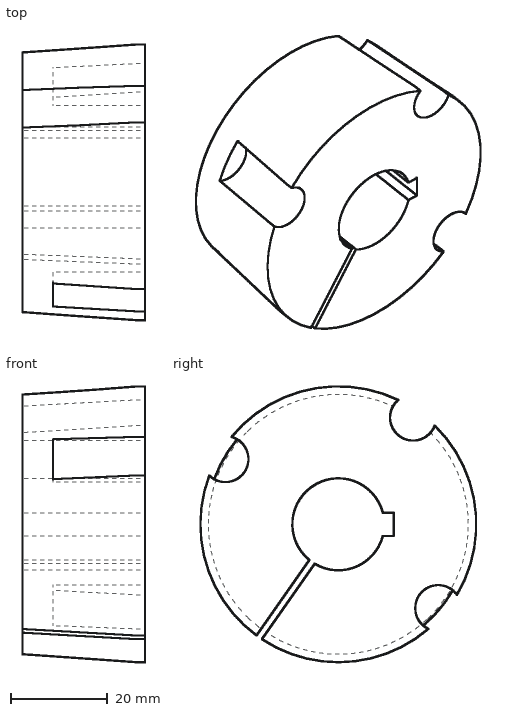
import cadquery as cq
import math

length = 25.4
large_diameter = 57.15
rim_length = 1.75
taper_half_angle = 4.0

bore_diameter = 19.0
key_width = 4.7625
key_floor_distance = 11.46

screw_hole_diameter = 9.525
screw_circle_diameter = 53.975
blind_hole_depth = 19.05

slit_width = 1.32

through_hole_angle = 35.0
blind_hole_spacing = 95.0
blind_hole_angles = (
    through_hole_angle - blind_hole_spacing,
    through_hole_angle + blind_hole_spacing,
)
slit_angle = through_hole_angle + 180.0

large_radius = large_diameter / 2
taper_length = length - rim_length
small_radius = large_radius - taper_length * math.tan(math.radians(taper_half_angle))


def tapered_body():
    """Solid of revolution: a cone followed by the straight rim."""
    profile = (
        cq.Workplane("XY")
        .moveTo(0, 0)
        .lineTo(0, small_radius)
        .lineTo(taper_length, large_radius)
        .lineTo(length, large_radius)
        .lineTo(length, 0)
        .close()
    )
    return profile.revolve(360, (0, 0, 0), (1, 0, 0))


def bore():
    return cq.Workplane("YZ").circle(bore_diameter / 2).extrude(length)


def keyway():
    """Rectangular slot from the bore axis to the keyway floor on the +Y side."""
    return cq.Workplane("XY").box(
        length, key_floor_distance, key_width, centered=(False, False, True)
    )


def screw_hole(angle, depth):
    """Axial hole entering from the large end, broken open through the outer surface."""
    pitch_radius = screw_circle_diameter / 2
    center_y = pitch_radius * math.sin(math.radians(angle))
    center_z = pitch_radius * math.cos(math.radians(angle))
    return (
        cq.Workplane("YZ", origin=(length - depth, 0, 0))
        .center(center_y, center_z)
        .circle(screw_hole_diameter / 2)
        .extrude(depth)
    )


def clamping_slit():
    """Radial cut from the bore axis to the outside, along the whole length."""
    slit = cq.Workplane("XY").box(
        length, slit_width, large_diameter, centered=(False, True, False)
    )
    return slit.rotate((0, 0, 0), (1, 0, 0), -slit_angle)


bushing = tapered_body().cut(bore()).cut(keyway()).cut(clamping_slit())
bushing = bushing.cut(screw_hole(through_hole_angle, length))
for blind_angle in blind_hole_angles:
    bushing = bushing.cut(screw_hole(blind_angle, blind_hole_depth))

result = bushing